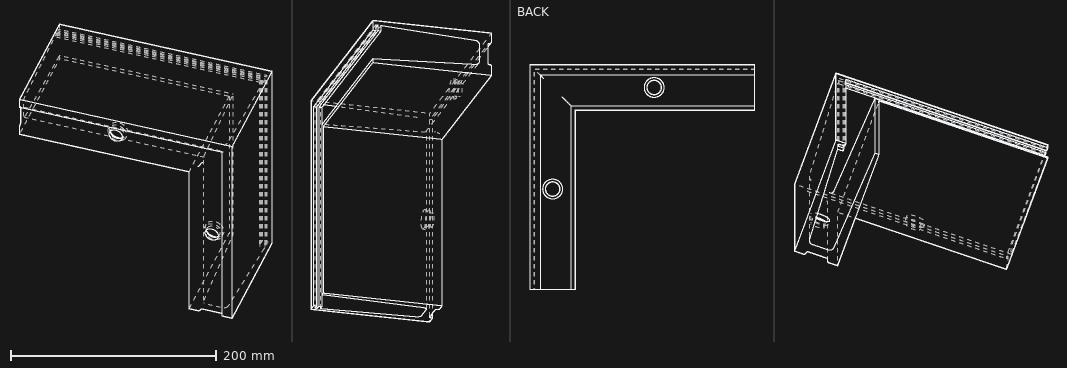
import cadquery as cq
import math

length = 219.0
depth = 120.5
width = 44.5

wall_at_back = 4.2
wall_at_floor = 9.9
floor_depth = 12.3
floor_fillet = 4.4

groove_margin = 9.0
convex_radius = 2.2
concave_radius = 1.5
groove_width = convex_radius + concave_radius

rib_spans = [(112.1, 115.2), (117.4, depth)]
rib_bottom = 10.3

bevel_height = 0.2
outer_bevel_length = 0.7
inner_bevel_length = 1.3

hole_diameter = 13.8
relief_diameter = 19.3
relief_start = groove_width + 4.4
hole_from_corner = 121.0


def arc_middle(center, radius, degrees):
    """Point on a circle at the given angle."""
    angle = math.radians(degrees)
    return (center[0] + radius * math.cos(angle), center[1] + radius * math.sin(angle))


def leg_section():
    """Solid section outline: (distance from front, height), with outer side at zero height."""
    outer = -groove_margin
    inner = groove_margin - width
    section = cq.Workplane("YZ").moveTo(0, 0)
    section = section.lineTo(depth - outer_bevel_length, 0)
    section = section.lineTo(depth, -bevel_height)
    section = section.lineTo(depth, bevel_height - width)
    section = section.lineTo(depth - inner_bevel_length, -width)
    section = section.lineTo(0, -width).lineTo(0, inner)

    inner_step = inner + convex_radius
    section = section.threePointArc(
        arc_middle((convex_radius, inner), convex_radius, 135), (convex_radius, inner_step)
    )
    section = section.threePointArc(
        arc_middle((convex_radius, inner_step + concave_radius), concave_radius, -45),
        (groove_width, inner_step + concave_radius),
    )
    outer_step = outer - convex_radius
    section = section.lineTo(groove_width, outer_step - concave_radius)
    section = section.threePointArc(
        arc_middle((convex_radius, outer_step - concave_radius), concave_radius, 45),
        (convex_radius, outer_step),
    )
    section = section.threePointArc(
        arc_middle((convex_radius, outer), convex_radius, 225), (0, outer)
    )
    return section.close()


def channel_section():
    """Outline of the tapered channel, open at the back."""
    return (
        cq.Workplane("YZ")
        .moveTo(floor_depth, -wall_at_floor)
        .lineTo(depth, -wall_at_back)
        .lineTo(depth, wall_at_back - width)
        .lineTo(floor_depth, wall_at_floor - width)
        .close()
    )


def straight_leg():
    """Full-length horizontal leg with its outer side at zero height."""
    leg = leg_section().extrude(length)
    channel = channel_section().extrude(length)
    channel = channel.edges("|X and <Y").fillet(floor_fillet)
    leg = leg.cut(channel)
    for near, far in rib_spans:
        rib = cq.Workplane("XY").box(length, far - near, rib_bottom - bevel_height, centered=False)
        leg = leg.union(rib.translate((0, near, -rib_bottom)))
    hole_axis = cq.Workplane("XZ").center(length - hole_from_corner, -width / 2)
    hole = hole_axis.circle(hole_diameter / 2).extrude(-floor_depth)
    relief = (
        hole_axis.workplane(offset=-relief_start)
        .circle(relief_diameter / 2)
        .extrude(relief_start - floor_depth - floor_fillet)
    )
    return leg.cut(hole).cut(relief)


def mitred_leg():
    """Horizontal leg cut at 45 degrees at its right end."""
    miter = (
        cq.Workplane("XZ")
        .polyline([(0, 0), (length, 0), (length - width, -width), (0, -width)])
        .close()
        .extrude(-depth)
    )
    return straight_leg().intersect(miter)


horizontal_leg = mitred_leg().translate((-length, 0, 0))
vertical_leg = horizontal_leg.mirror("XY").rotate((0, 0, 0), (0, 1, 0), -90)
result = horizontal_leg.union(vertical_leg).translate((length, 0, length))